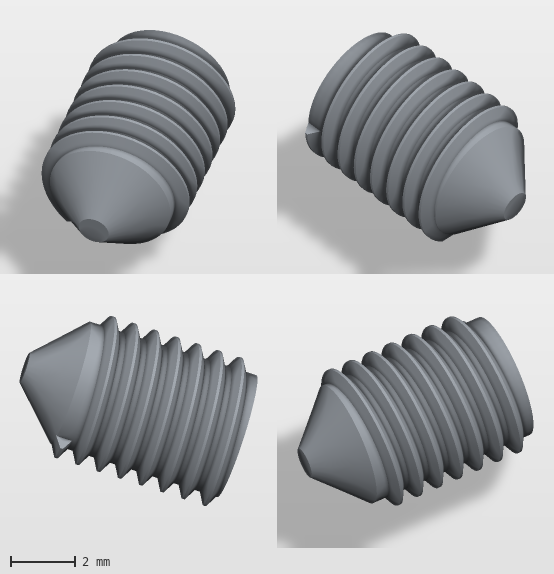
import cadquery as cq
import math

total_length = 7.0
core_radius = 2.0
thread_radius = 2.38
tip_radius = 0.5
pitch = 0.7
thread_travel = 5.0
start_angle = 180.0
seam_angle = 90.0
root_overlap = 0.035

flank_angle = math.radians(30)
crest_width = pitch / 8
thread_height = thread_radius - core_radius
base_width = crest_width + 2 * thread_height * math.tan(flank_angle)

cone_length = core_radius - tip_radius
body_length = total_length - cone_length


def make_core():
    """Plain cylinder with a truncated cone at the far end, along +Z."""
    return (
        cq.Workplane("XZ")
        .lineTo(core_radius, 0)
        .lineTo(core_radius, body_length)
        .lineTo(tip_radius, total_length)
        .lineTo(0, total_length)
        .close()
        .revolve(360, (0, 0, 0), (0, 1, 0))
        .rotate((0, 0, 0), (0, 0, 1), seam_angle)
    )


def make_thread():
    """Right-hand ridge whose base starts flush with the flat end."""
    root_radius = core_radius - root_overlap
    root_spread = root_overlap * math.tan(flank_angle)
    crest_start = (base_width - crest_width) / 2
    profile = (
        cq.Workplane("XZ")
        .moveTo(root_radius, -root_spread)
        .lineTo(thread_radius, crest_start)
        .lineTo(thread_radius, crest_start + crest_width)
        .lineTo(root_radius, base_width + root_spread)
        .close()
    )
    helix = cq.Workplane(obj=cq.Wire.makeHelix(pitch, thread_travel, core_radius))
    ridge = profile.sweep(helix, isFrenet=True)
    return ridge.rotate((0, 0, 0), (0, 0, 1), start_angle)


envelope = cq.Workplane("XY").circle(thread_radius + root_overlap).extrude(total_length)
screw = make_core().union(make_thread()).intersect(envelope)
result = screw.rotate((0, 0, 0), (1, 0, 0), 90)